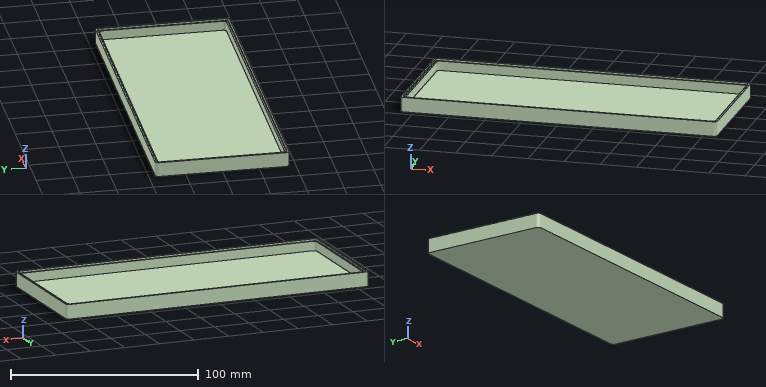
import cadquery as cq

length = 175.0
width = 73.0
height = 8.2

corner_radius = 2.0

wall = 2.0
floor = 2.0
lip_wall = 1.0
lip_depth = 1.0


def rounded_block(inset, bottom, top):
    """Rounded block inset from the outer walls, between two heights."""
    return (
        cq.Workplane("XY")
        .workplane(offset=bottom)
        .rect(length - 2 * inset, width - 2 * inset)
        .extrude(top - bottom)
        .edges("|Z")
        .fillet(corner_radius)
    )


body = rounded_block(0, 0, height)
cavity = rounded_block(wall, floor, height)
lip_step = rounded_block(lip_wall, height - lip_depth, height)

result = body.cut(cavity).cut(lip_step)